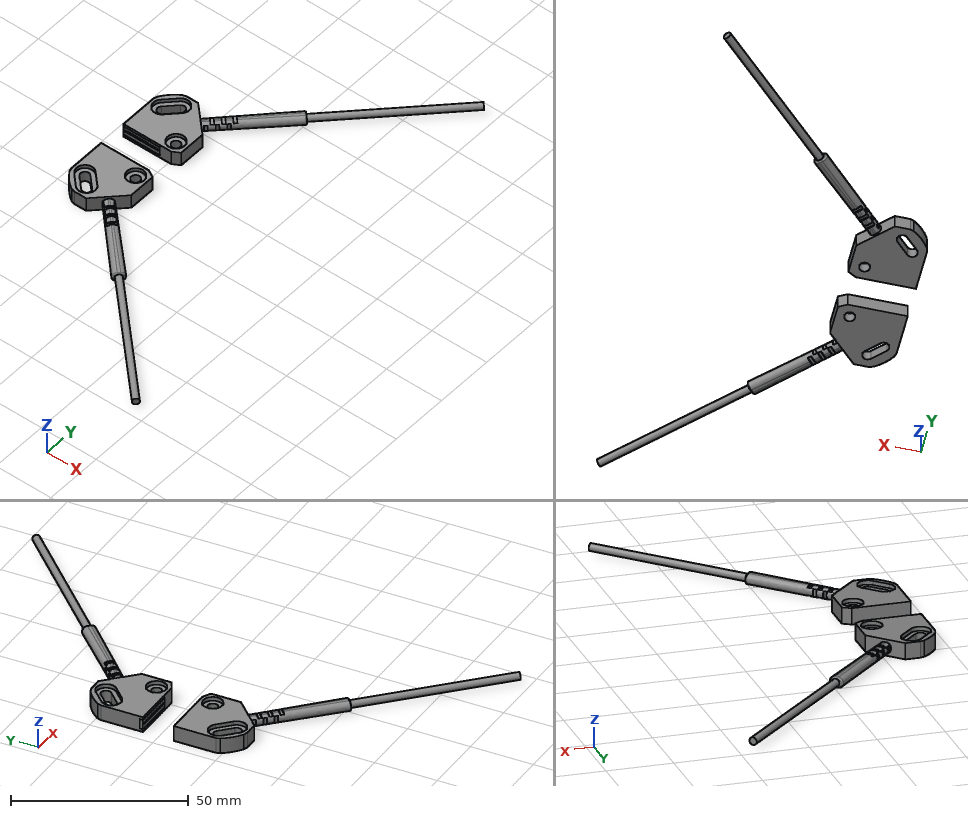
import cadquery as cq
import math

side = 19.9
thickness = 5.0
sensor_gap = 9.8
exit_chamfer = 9.0
diagonal = 45
blunt_length = 2.5
blunt_depth = 1.4

bow_start = 6.5
bow_flat_end = 5.3
bow_flat_inset = 0.39
bow_middle = 2.57

screw_diameter = 3.1
head_diameter = 6.0
head_depth = 1.2
mount_inset = 4.0
slot_travel = 5.3

window_length = 13.2
window_height = 3.1
window_depth = 1.1
slit_height = 0.3
slit_depth = 0.3
slit_margin = 0.5

cable_diameter = 2.3
cable_length = 80.1
boot_length = 30.0
boot_height = 3.3
boot_root_width = 3.7
boot_tip_width = 4.28
boot_tip_fillet = 0.5

notch_count = 3
notch_pitch = 3.3
notch_width = 1.1
side_notch_start = 1.4
top_notch_start = 3.3
side_notch_depth = 0.39
top_notch_depth = 0.5

mid_height = thickness / 2
plate_front = sensor_gap / 2
exit_position = side - exit_chamfer / 2


def make_plate():
    """Plate outline with its front left corner at the origin."""
    return (
        cq.Workplane("XY")
        .lineTo(side - blunt_length, 0)
        .lineTo(side, blunt_depth)
        .lineTo(side, side - exit_chamfer)
        .lineTo(side - exit_chamfer, side)
        .lineTo(bow_start, side)
        .lineTo(bow_flat_end, side - bow_flat_inset)
        .threePointArc((bow_middle, side - bow_middle), (bow_flat_inset, side - bow_flat_end))
        .lineTo(0, side - bow_start)
        .close()
        .extrude(thickness)
    )


def cut_mounts(plate):
    """Round hole near the blunt corner and a diagonal slot along the bowed corner."""
    half_travel_x = slot_travel / 2 * math.cos(math.radians(diagonal))
    slot_x = mount_inset + half_travel_x
    plate = (
        plate.faces(">Z").workplane(origin=(side - mount_inset, mount_inset, thickness))
        .cboreHole(screw_diameter, head_diameter, head_depth)
    )
    for width, depth in ((screw_diameter, thickness), (head_diameter, head_depth)):
        slot = (
            cq.Workplane("XY", origin=(slot_x, side - slot_x, thickness))
            .slot2D(slot_travel + width, width, diagonal)
            .extrude(-depth)
        )
        plate = plate.cut(slot)
    return plate


def cut_notches(boot):
    """Alternating notches: one row in both sides, one row in the top and bottom."""
    cutter = cq.Workplane("XY").box(notch_width, boot_tip_width, boot_height)
    side_shift = (boot_root_width + boot_tip_width) / 2 - side_notch_depth
    top_shift = boot_height - top_notch_depth
    for index in range(notch_count):
        side_x = side_notch_start + index * notch_pitch
        top_x = top_notch_start + index * notch_pitch
        for sign in (-1, 1):
            boot = boot.cut(cutter.translate((side_x, sign * side_shift, 0)))
            boot = boot.cut(cutter.translate((top_x, 0, sign * top_shift)))
    return boot


def make_lead():
    """Cable with its strain relief, along +X from the origin."""
    boot = (
        cq.Workplane("YZ")
        .slot2D(boot_root_width, boot_height)
        .workplane(offset=boot_length)
        .slot2D(boot_tip_width, boot_height)
        .loft(ruled=True)
        .faces(">X").edges().fillet(boot_tip_fillet)
    )
    cable = cq.Workplane("YZ").circle(cable_diameter / 2).extrude(cable_length)
    return cut_notches(boot).union(cable)


def make_sensor():
    """Housing with its lead, at the +Y side of the gap."""
    lead = make_lead().rotate((0, 0, 0), (0, 0, 1), diagonal)
    lead = lead.translate((exit_position, exit_position, mid_height))
    return cut_mounts(make_plate()).union(lead).translate((0, plate_front, 0))


def make_window_block():
    """Strip that fills the recess in the upper sensor's face."""
    return (
        cq.Workplane("XY", origin=(0, plate_front, mid_height))
        .box(window_length, window_depth, window_height, centered=(False, False, True))
    )


def make_window():
    """Window strip with a narrow slit along the middle of its face."""
    slit = (
        cq.Workplane("XY", origin=(slit_margin, plate_front, mid_height))
        .box(window_length - 2 * slit_margin, slit_depth, slit_height, centered=(False, False, True))
    )
    return make_window_block().cut(slit)


sensor = make_sensor()
lower_sensor = sensor.mirror("XZ")
upper_sensor = sensor.cut(make_window_block())
window = make_window()

result = cq.Compound.makeCompound([upper_sensor.val(), lower_sensor.val(), window.val()])